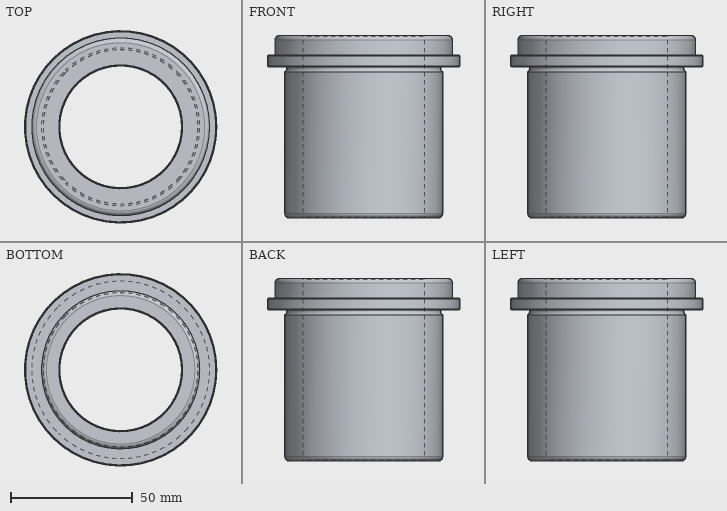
import cadquery as cq
import math

total_height = 75.0
bore_radius = 24.95
body_radius = 32.5
head_radius = 36.5
collar_radius = 39.5

head_height = 8.0
collar_thickness = 5.05
collar_top = total_height - head_height
collar_bottom = collar_top - collar_thickness

undercut_depth = 0.8
undercut_radius = 1.5
undercut_height = 1.9
edge_round = 2.0
collar_chamfer = 0.5
bore_chamfer = 0.5

undercut_bottom = collar_bottom - undercut_height
undercut_ring_radius = body_radius - undercut_depth + undercut_radius
undercut_half_width = math.sqrt(undercut_radius**2 - (undercut_radius - undercut_depth) ** 2)
undercut_center = undercut_bottom + undercut_half_width


def cylinder(radius, bottom, top):
    return cq.Workplane("XY").workplane(offset=bottom).circle(radius).extrude(top - bottom)


def cone(bottom_radius, top_radius, bottom, height):
    solid = cq.Solid.makeCone(bottom_radius, top_radius, height, pnt=cq.Vector(0, 0, bottom))
    return cq.Workplane(obj=solid)


body = cylinder(body_radius, 0, collar_bottom).faces("<Z").edges().fillet(edge_round)
undercut_position = cq.Vector(0, 0, undercut_center)
undercut_ring = cq.Solid.makeTorus(undercut_ring_radius, undercut_radius, pnt=undercut_position)
body = body.cut(cq.Workplane(obj=undercut_ring))
collar = cylinder(collar_radius, collar_bottom, collar_top).edges().chamfer(collar_chamfer)
head = cylinder(head_radius, collar_top, total_height).faces(">Z").edges().fillet(edge_round)
outer = body.union(collar).union(head)

bore = cylinder(bore_radius, 0, total_height)
mouth_radius = bore_radius + bore_chamfer
bottom_mouth = cone(mouth_radius, bore_radius, 0, bore_chamfer)
top_mouth = cone(bore_radius, mouth_radius, total_height - bore_chamfer, bore_chamfer)

result = outer.cut(bore).cut(bottom_mouth).cut(top_mouth)